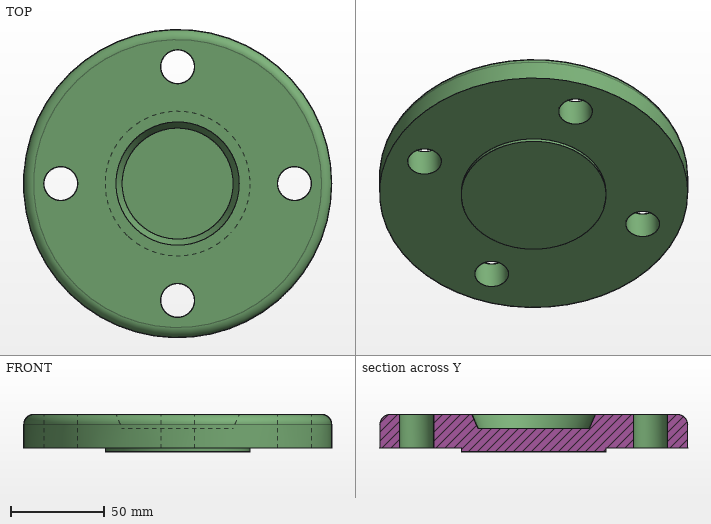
import cadquery as cq

flange_diameter = 165.0
total_height = 20.1
rim_fillet = 5.5

raised_diameter = 77.5
raised_height = 2.0

pocket_top_diameter = 66.0
pocket_floor_diameter = 59.4
pocket_depth = 7.6

bolt_hole_diameter = 18.0
bolt_circle_diameter = 125.0
bolt_count = 4


def make_flange():
    """Disc with a rounded top rim, standing on a smaller raised face."""
    disc = (
        cq.Workplane("XY", origin=(0, 0, raised_height))
        .circle(flange_diameter / 2)
        .extrude(total_height - raised_height)
        .faces(">Z")
        .edges()
        .fillet(rim_fillet)
    )
    raised_face = cq.Workplane("XY").circle(raised_diameter / 2).extrude(raised_height)
    return disc.union(raised_face)


def make_pocket():
    """Cone frustum that narrows from the top face to the pocket floor."""
    return (
        cq.Workplane("XY", origin=(0, 0, total_height - pocket_depth))
        .circle(pocket_floor_diameter / 2)
        .workplane(offset=pocket_depth)
        .circle(pocket_top_diameter / 2)
        .loft(ruled=True)
    )


def make_bolt_holes():
    """Through-hole cutters on the bolt circle, starting on the X axis."""
    return (
        cq.Workplane("XY")
        .polarArray(bolt_circle_diameter / 2, 0, 360, bolt_count)
        .circle(bolt_hole_diameter / 2)
        .extrude(total_height)
    )


result = make_flange().cut(make_pocket()).cut(make_bolt_holes())